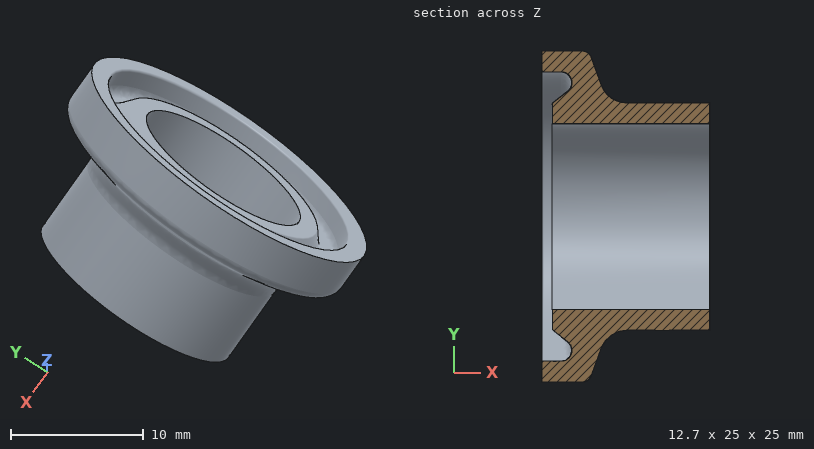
import cadquery as cq
import math

length = 12.7
flange_radius = 12.5
tube_radius = 17.2 / 2
bore_radius = 14.0 / 2

back_slope = math.radians(20)
back_cone_end = 5.0
rim_round = 0.75
neck_round = 2.0

groove_radius = 21.8 / 2
land_radius = 8.55
land_recess = 0.8
groove_slope = math.radians(52)
groove_round = 0.8
groove_lip_round = 0.2

back_cone_start = back_cone_end - (flange_radius - tube_radius) * math.tan(back_slope)
groove_depth = land_recess + (groove_radius - land_radius) * math.tan(groove_slope)


def round_circle(body, x, radius, fillet_radius):
    """Fillet the circular edge of the given radius at position x."""
    tolerance = 0.002
    low = (x - tolerance, -radius - tolerance, -radius - tolerance)
    high = (x + tolerance, radius + tolerance, radius + tolerance)
    circles = body.edges(cq.selectors.BoxSelector(low, high, boundingbox=True)).edges("%CIRCLE")
    edge = circles.filter(lambda e: abs(e.radius() - radius) < tolerance)
    return edge.fillet(fillet_radius)


half_section = [
    (land_recess, bore_radius),
    (land_recess, land_radius),
    (groove_depth, groove_radius),
    (0, groove_radius),
    (0, flange_radius),
    (back_cone_start, flange_radius),
    (back_cone_end, tube_radius),
    (length, tube_radius),
    (length, bore_radius),
]
body = cq.Workplane("XY").polyline(half_section).close().revolve(360, (0, 0, 0), (1, 0, 0))

body = round_circle(body, back_cone_start, flange_radius, rim_round)
body = round_circle(body, back_cone_end, tube_radius, neck_round)
body = round_circle(body, groove_depth, groove_radius, groove_round)
body = round_circle(body, land_recess, land_radius, groove_lip_round)
body = round_circle(body, 0, groove_radius, groove_lip_round)

result = body